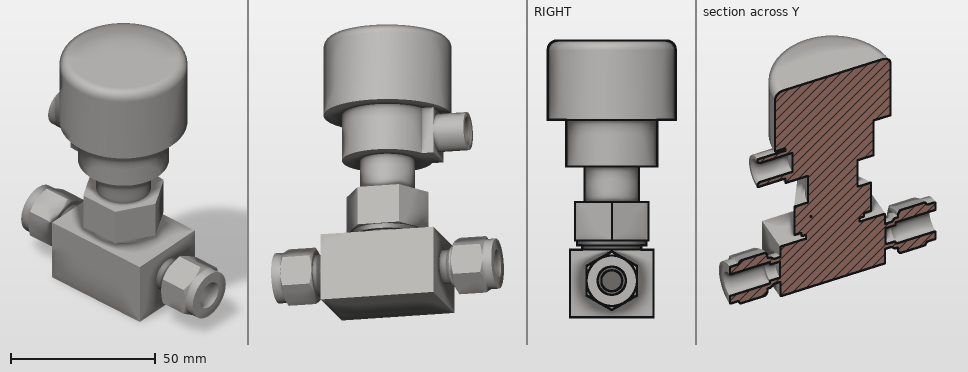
import cadquery as cq
import math

BODY_LENGTH = 40.1
BODY_WIDTH = 28.8
BODY_HEIGHT = 23.3

FITTING_AXIS_Z = 12.6
FITTING_END_X = 39.25
COLLAR_LENGTH = 3.2
COLLAR_RADIUS = 8.7
NUT_LENGTH = 11.2
NUT_FLATS = 17.5
NUT_CHAMFER_ANGLE = 30.0
NECK_RADIUS = 5.9
SHOULDER_RADIUS = 7.2
SHOULDER_LENGTH = 1.1
TUBE_BORE_RADIUS = 4.9
TUBE_BORE_DEPTH = 15.3
FLOW_BORE_RADIUS = 3.6
FLOW_BORE_DEPTH = 19.1

SEAT_RADIUS = 10.2
SEAT_TOP_Z = 24.8
WASHER_RADIUS = 12.0
HEX_BOTTOM_Z = 26.5
HEX_TOP_Z = 39.8
HEX_FLATS = 25.4
STEM_RADIUS = 9.5
BONNET_RADIUS = 15.8
BONNET_BOTTOM_Z = 51.95

CAP_DIAMETER = 44.2
CAP_BOTTOM_Z = 68.1
CAP_TOP_Z = 95.5
CAP_FILLET = 3.3

PAD_WIDTH = 13.8
PAD_REACH = 18.1
PORT_AXIS_Z = 60.6
PORT_REACH = 28.7
PORT_RADIUS = 6.6
PORT_BORE_RADIUS = 4.3
PORT_BORE_DEPTH = 13.4
PORT_CHAMFER = 0.9


def hex_corner_diameter(flats):
    return flats / math.cos(math.pi / 6)


def z_cylinder(radius, bottom, top):
    return cq.Workplane("XY").workplane(offset=bottom).circle(radius).extrude(top - bottom)


def x_cylinder(radius, start, end, axis_z):
    return cq.Workplane("YZ", origin=(start, 0, axis_z)).circle(radius).extrude(end - start)


def make_fitting():
    """Compression fitting pointing along +X."""
    nut_outer = FITTING_END_X - COLLAR_LENGTH
    nut_inner = nut_outer - NUT_LENGTH
    shoulder_start = nut_inner - SHOULDER_LENGTH
    cone_start = shoulder_start - (SHOULDER_RADIUS - NECK_RADIUS)

    neck = (
        cq.Workplane("XZ", origin=(0, 0, FITTING_AXIS_Z))
        .moveTo(0, 0)
        .lineTo(0, NECK_RADIUS)
        .lineTo(cone_start, NECK_RADIUS)
        .lineTo(shoulder_start, SHOULDER_RADIUS)
        .lineTo(nut_inner, SHOULDER_RADIUS)
        .lineTo(nut_inner, 0)
        .close()
        .revolve(360, (0, 0), (1, 0))
    )

    corner_diameter = hex_corner_diameter(NUT_FLATS)
    corner_radius = corner_diameter / 2
    chamfer_rise = corner_radius - COLLAR_RADIUS
    chamfer_run = chamfer_rise * math.tan(math.radians(NUT_CHAMFER_ANGLE))
    nut = (
        cq.Workplane("YZ", origin=(nut_inner, 0, FITTING_AXIS_Z))
        .transformed(rotate=(0, 0, 90))
        .polygon(6, corner_diameter)
        .extrude(NUT_LENGTH)
    )
    turned_blank = x_cylinder(corner_radius, nut_inner, nut_outer, FITTING_AXIS_Z)
    turned_blank = turned_blank.faces("<X or >X").chamfer(chamfer_run, chamfer_rise)
    nut = nut.intersect(turned_blank)

    collar = x_cylinder(COLLAR_RADIUS, nut_outer, FITTING_END_X, FITTING_AXIS_Z)
    return neck.union(nut).union(collar)


def make_fitting_bore():
    """Stepped blind tube bore entering from the +X end."""
    tube_floor = FITTING_END_X - TUBE_BORE_DEPTH
    flow_floor = FITTING_END_X - FLOW_BORE_DEPTH
    tube_bore = x_cylinder(TUBE_BORE_RADIUS, tube_floor, FITTING_END_X, FITTING_AXIS_Z)
    flow_bore = x_cylinder(FLOW_BORE_RADIUS, flow_floor, tube_floor, FITTING_AXIS_Z)
    return tube_bore.union(flow_bore)


def make_bonnet_stack():
    """Seat, washer, hexagon, stem and bonnet along the vertical axis."""
    hexagon = (
        cq.Workplane("XY", origin=(0, 0, HEX_BOTTOM_Z))
        .polygon(6, hex_corner_diameter(HEX_FLATS))
        .extrude(HEX_TOP_Z - HEX_BOTTOM_Z)
    )
    return (
        z_cylinder(SEAT_RADIUS, BODY_HEIGHT, SEAT_TOP_Z)
        .union(z_cylinder(WASHER_RADIUS, SEAT_TOP_Z, HEX_BOTTOM_Z))
        .union(hexagon)
        .union(z_cylinder(STEM_RADIUS, HEX_TOP_Z, BONNET_BOTTOM_Z))
        .union(z_cylinder(BONNET_RADIUS, BONNET_BOTTOM_Z, CAP_BOTTOM_Z))
    )


def make_cap():
    cap = z_cylinder(CAP_DIAMETER / 2, CAP_BOTTOM_Z, CAP_TOP_Z)
    return cap.faces(">Z").edges().fillet(CAP_FILLET)


def make_air_port():
    """Flat pad and round spigot on the -X side of the bonnet."""
    pad_height = CAP_BOTTOM_Z - BONNET_BOTTOM_Z
    pad = cq.Workplane("XY", origin=(-PAD_REACH, 0, BONNET_BOTTOM_Z)).box(
        PAD_REACH, PAD_WIDTH, pad_height, centered=(False, True, False)
    )
    return pad.union(x_cylinder(PORT_RADIUS, -PORT_REACH, -PAD_REACH, PORT_AXIS_Z))


def make_air_port_bore():
    """Blind port bore with a 45 degree countersink at its mouth."""
    return (
        cq.Workplane("XZ", origin=(-PORT_REACH, 0, PORT_AXIS_Z))
        .moveTo(0, 0)
        .lineTo(0, PORT_BORE_RADIUS + PORT_CHAMFER)
        .lineTo(PORT_CHAMFER, PORT_BORE_RADIUS)
        .lineTo(PORT_BORE_DEPTH, PORT_BORE_RADIUS)
        .lineTo(PORT_BORE_DEPTH, 0)
        .close()
        .revolve(360, (0, 0), (1, 0))
    )


body = cq.Workplane("XY").box(BODY_LENGTH, BODY_WIDTH, BODY_HEIGHT, centered=(True, True, False))
fitting = make_fitting()
fitting_bore = make_fitting_bore()

result = (
    body.union(fitting)
    .union(fitting.mirror("YZ"))
    .union(make_bonnet_stack())
    .union(make_cap())
    .union(make_air_port())
    .cut(fitting_bore)
    .cut(fitting_bore.mirror("YZ"))
    .cut(make_air_port_bore())
)